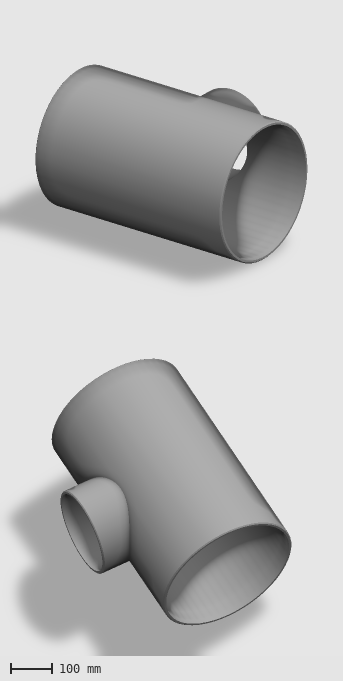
import cadquery as cq

wall = 7.92
bevel = wall / 3

run_outer_diameter = 355.6
run_length = 558.8

branch_outer_diameter = 219.075
overall_depth = 425.45
branch_reach = overall_depth - run_outer_diameter / 2


def run_body():
    """Solid run cylinder with a 45 degree weld bevel on both end rims."""
    cylinder = cq.Workplane("YZ").circle(run_outer_diameter / 2).extrude(run_length / 2, both=True)
    return cylinder.edges("%CIRCLE").chamfer(bevel)


def branch_body():
    """Solid branch cylinder with a 45 degree weld bevel on its open end rim."""
    cylinder = cq.Workplane("XZ").circle(branch_outer_diameter / 2).extrude(-branch_reach)
    return cylinder.faces(">Y").edges().chamfer(bevel)


def run_bore():
    bore_radius = run_outer_diameter / 2 - wall
    return cq.Workplane("YZ").circle(bore_radius).extrude(run_length / 2, both=True)


def branch_bore():
    bore_radius = branch_outer_diameter / 2 - wall
    return cq.Workplane("XZ").circle(bore_radius).extrude(-branch_reach)


result = run_body().union(branch_body()).cut(run_bore()).cut(branch_bore())